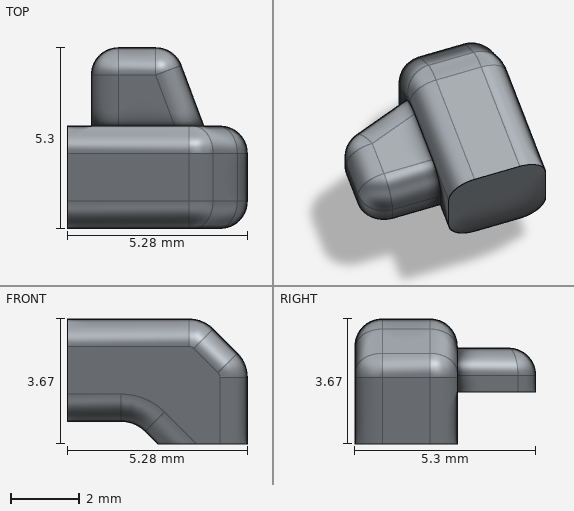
import cadquery as cq
import math

length = 5.28
depth = 5.3
height = 3.67

arm_size = 3.0
edge_radius = 0.8
bend_radius = 1.0
outer_chamfer = 1.3
inner_bend_x = 1.995
arm_bottom = height - arm_size

tab_left = 0.705
tab_tip_right = 3.145
tab_height = 1.295
tab_taper = 20.5
tab_length = depth - arm_size
tab_base_right = tab_tip_right + tab_length * math.tan(math.radians(tab_taper))
tab_bottom = arm_bottom + (arm_size - tab_height) / 2


def make_body():
    """Elbow with a square section, open ends left sharp."""
    outline = [
        (0, arm_bottom),
        (inner_bend_x, arm_bottom),
        (inner_bend_x + arm_bottom, 0),
        (length, 0),
        (length, height - outer_chamfer),
        (length - outer_chamfer, height),
        (0, height),
    ]
    body = cq.Workplane("XZ").polyline(outline).close().extrude(-arm_size)

    bends = [outline[1], outline[4], outline[5]]
    for x, z in bends:
        bend_edge = cq.selectors.NearestToPointSelector((x, arm_size / 2, z))
        body = body.edges(bend_edge).fillet(bend_radius)

    return body.faces("<Y or >Y").edges("not(<X or <Z)").fillet(edge_radius)


def make_tab():
    """Tapered tab on the back face, rounded on top and around its tip."""
    outline = [
        (tab_left, arm_size),
        (tab_left, depth),
        (tab_tip_right, depth),
        (tab_base_right, arm_size),
    ]
    tab = cq.Workplane("XY").workplane(offset=tab_bottom).polyline(outline).close().extrude(tab_height)
    root_edges = tab.faces("<Y").edges().vals()
    bottom_edges = tab.faces("<Z").edges().vals()
    sharp_edges = root_edges + bottom_edges
    rounded_edges = [
        edge for edge in tab.edges().vals()
        if not any(edge.isSame(sharp) for sharp in sharp_edges)
    ]
    return tab.newObject(rounded_edges).fillet(edge_radius)


result = make_body().union(make_tab())